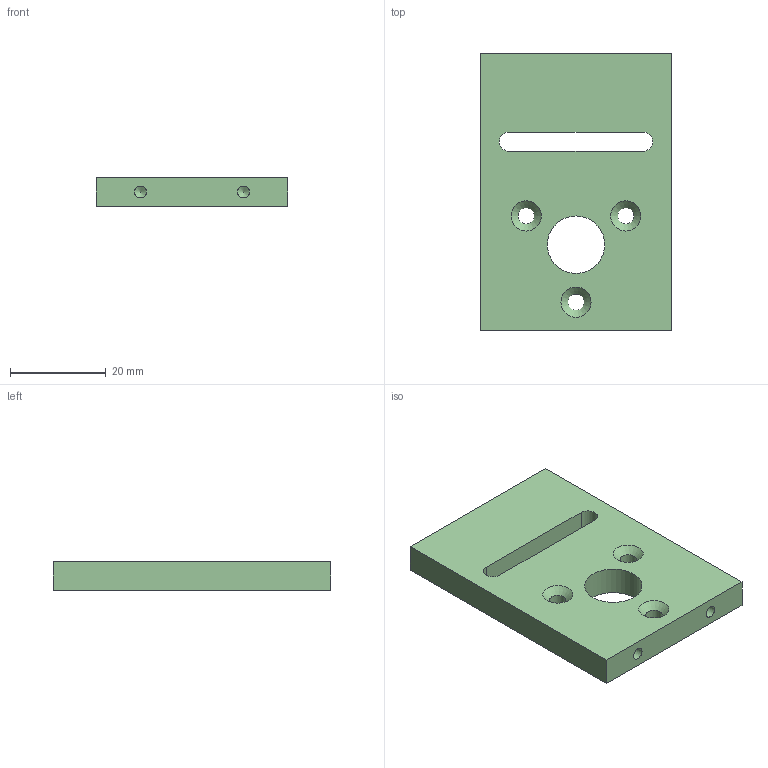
import cadquery as cq
import math

plate_width = 40.0
plate_length = 58.0
plate_thickness = 6.0

slot_length = 32.0
slot_width = 4.0
slot_y = 39.5

bore_diameter = 12.0
bore_y = 18.0
screw_circle_radius = 12.0
screw_angles = (30.0, 150.0, 270.0)
screw_hole_diameter = 3.4
countersink_diameter = 6.3
countersink_angle = 90.0

edge_hole_diameter = 2.5
edge_hole_spacing = 21.5
edge_hole_depth = 10.0
drill_point_angle = 118.0


def make_plate():
    """Flat rectangular plate resting on Z = 0."""
    return cq.Workplane("XY").box(
        plate_width, plate_length, plate_thickness, centered=(True, False, False)
    )


def cut_slot(body):
    """Round-ended slot through the plate."""
    cutter = (
        cq.Workplane("XY")
        .center(0, slot_y)
        .slot2D(slot_length, slot_width)
        .extrude(plate_thickness)
    )
    return body.cut(cutter)


def cut_bore(body):
    """Central bore through the plate."""
    cutter = cq.Workplane("XY").center(0, bore_y).circle(bore_diameter / 2).extrude(plate_thickness)
    return body.cut(cutter)


def cut_screw_holes(body):
    """Through holes on a circle about the bore, countersunk from the top."""
    centres = []
    for angle in screw_angles:
        x = screw_circle_radius * math.cos(math.radians(angle))
        y = bore_y + screw_circle_radius * math.sin(math.radians(angle))
        centres.append((x, y))
    return (
        body.faces(">Z")
        .workplane(origin=(0, 0, plate_thickness))
        .pushPoints(centres)
        .cskHole(screw_hole_diameter, countersink_diameter, countersink_angle)
    )


def edge_hole_cutter(x):
    """Drill shape entering the front edge along +Y, with a conical point."""
    radius = edge_hole_diameter / 2
    point_length = radius / math.tan(math.radians(drill_point_angle / 2))
    return (
        cq.Workplane("XY")
        .lineTo(radius, 0)
        .lineTo(radius, edge_hole_depth)
        .lineTo(0, edge_hole_depth + point_length)
        .close()
        .revolve(360, (0, 0), (0, 1))
        .translate((x, 0, plate_thickness / 2))
    )


def cut_edge_holes(body):
    """Pair of drilled holes at mid-thickness, symmetric about X = 0."""
    for side in (-1, 1):
        body = body.cut(edge_hole_cutter(side * edge_hole_spacing / 2))
    return body


result = make_plate()
result = cut_slot(result)
result = cut_bore(result)
result = cut_screw_holes(result)
result = cut_edge_holes(result)